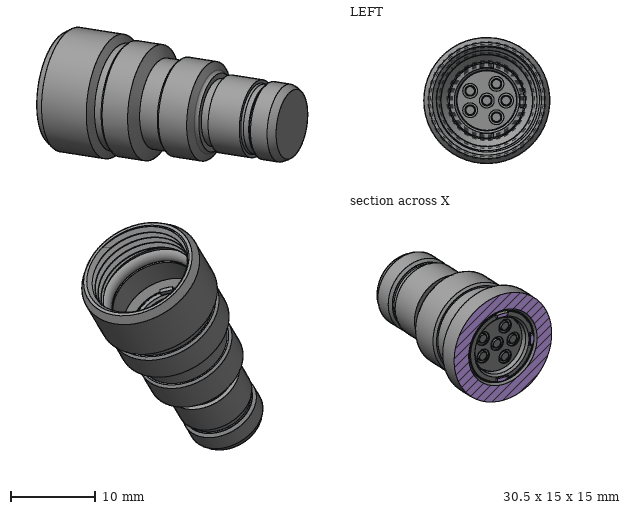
import cadquery as cq
import math


FULL_TURN = 360

LENGTH = 30.5
FRONT_RADIUS = 7.5
FRONT_LIP_RADIUS = 6.9
FRONT_CHAMFER_END = 0.95
FRONT_COLLAR_END = 6.9
FRONT_NECK_START = 7.5
FRONT_NECK_RADIUS = 6.5
MIDDLE_COLLAR_START = 8.47
MIDDLE_COLLAR_RADIUS = 7.0
MIDDLE_COLLAR_END = 12.15
MIDDLE_NECK_START = 13.0
MIDDLE_NECK_RADIUS = 5.5
REAR_COLLAR_START = 15.45
REAR_COLLAR_RADIUS = 6.0
REAR_COLLAR_END = 19.5
REAR_CONE_END = 20.05
REAR_CONE_END_RADIUS = 5.05
REAR_SHOULDER_RADIUS = 4.75
REAR_SHOULDER_END = 20.5
REAR_NECK_RADIUS = 4.1
BARREL_RADIUS = 4.7
BARREL_START = 21.7
BARREL_END = 25.85
GROOVE_RADIUS = 4.2
GROOVE_BEVEL = 0.3
GROOVE_EDGE_HEIGHT = 0.1
GROOVE_FLOOR_END = 26.85
GROOVE_WALL = 27.0
TAIL_CHAMFER = 0.35
TAIL_END = 29.55
TAIL_END_RADIUS = 4.2
TAIL_BULGE = 0.06
COLLAR_CHAMFER = 0.3

MOUTH_RADIUS = 6.5
THREAD_MAJOR_RADIUS = 6.47
THREAD_MINOR_RADIUS = 5.96
THREAD_PITCH = 1.0
THREAD_START = -0.1
THREAD_END = 4.3
THREAD_OVERLAP = 0.02
THREAD_GROOVE_WIDTH = 0.94
LEAD_IN_LENGTH = 0.5

SEAT_FACE = 4.8
SEAT_ROUND = 1.0
SEAT_RADIUS = 5.48
SEAT_GAP_DEPTH = 0.2
SEAT_GAP_WIDTH = 0.2
SOCKET_RADIUS = 5.44
TAPER_START = 9.2
TAPER_END = 10.0
TAPER_END_RADIUS = 4.6

SLEEVE_RADIUS = 4.45
SLEEVE_MOUTH_RADIUS = 3.87
SLEEVE_GAP_DEPTH = 0.3
SLEEVE_CHAMFER_LENGTH = 0.3
RECESS_RADIUS = 3.61
INSERT_RADIUS = 3.54
INSERT_GAP_DEPTH = 0.3
INSERT_FACE = 11.0
KEY_WIDTH = 1.6
KEY_HEIGHT = 0.5
KEY_EMBED = 0.1
KEY_INNER_RADIUS = 3.92
KEY_ANGLES = (90, 180, 270)

CONTACT_CIRCLE_RADIUS = 2.29
CONTACT_ANGLES = (30, 120, 180, 240, 330)
CONTACT_COUNTERBORE_RADIUS = 0.88
CONTACT_COUNTERBORE_DEPTH = 0.2
CONTACT_HOLE_RADIUS = 0.63
CONTACT_HOLE_DEPTH = 1.0
PIN_RADIUS = 0.52


def outer_body():
    """Solid of revolution with three collars, a barrel and a grooved tail."""
    tail_middle = (
        (TAIL_END + LENGTH) / 2,
        (BARREL_RADIUS + TAIL_END_RADIUS) / 2 + TAIL_BULGE,
    )
    profile = (
        cq.Workplane("XY")
        .lineTo(0, FRONT_LIP_RADIUS)
        .lineTo(FRONT_CHAMFER_END, FRONT_RADIUS)
        .lineTo(FRONT_COLLAR_END, FRONT_RADIUS)
        .lineTo(FRONT_NECK_START, FRONT_NECK_RADIUS)
        .lineTo(MIDDLE_COLLAR_START, FRONT_NECK_RADIUS)
        .lineTo(MIDDLE_COLLAR_START, MIDDLE_COLLAR_RADIUS - COLLAR_CHAMFER)
        .lineTo(MIDDLE_COLLAR_START + COLLAR_CHAMFER, MIDDLE_COLLAR_RADIUS)
        .lineTo(MIDDLE_COLLAR_END, MIDDLE_COLLAR_RADIUS)
        .lineTo(MIDDLE_NECK_START, MIDDLE_NECK_RADIUS)
        .lineTo(REAR_COLLAR_START, MIDDLE_NECK_RADIUS)
        .lineTo(REAR_COLLAR_START, REAR_COLLAR_RADIUS - COLLAR_CHAMFER)
        .lineTo(REAR_COLLAR_START + COLLAR_CHAMFER, REAR_COLLAR_RADIUS)
        .lineTo(REAR_COLLAR_END, REAR_COLLAR_RADIUS)
        .lineTo(REAR_CONE_END, REAR_CONE_END_RADIUS)
        .tangentArcPoint((REAR_SHOULDER_END, REAR_SHOULDER_RADIUS), relative=False)
        .lineTo(REAR_SHOULDER_END, REAR_NECK_RADIUS)
        .lineTo(BARREL_START, REAR_NECK_RADIUS)
        .lineTo(BARREL_START, BARREL_RADIUS)
        .lineTo(BARREL_END, BARREL_RADIUS)
        .lineTo(BARREL_END, GROOVE_RADIUS + GROOVE_EDGE_HEIGHT)
        .lineTo(BARREL_END + GROOVE_BEVEL, GROOVE_RADIUS)
        .lineTo(GROOVE_FLOOR_END, GROOVE_RADIUS)
        .lineTo(GROOVE_WALL, GROOVE_RADIUS + GROOVE_EDGE_HEIGHT)
        .lineTo(GROOVE_WALL, BARREL_RADIUS - TAIL_CHAMFER)
        .lineTo(GROOVE_WALL + TAIL_CHAMFER, BARREL_RADIUS)
        .lineTo(TAIL_END, BARREL_RADIUS)
        .threePointArc(tail_middle, (LENGTH, TAIL_END_RADIUS))
        .lineTo(LENGTH, 0)
        .close()
    )
    return profile.revolve(FULL_TURN, (0, 0), (1, 0))


def mouth_cavity():
    """Thread core, undercut, rounded seat, taper and insert recess as one cutter."""
    seat_end = SEAT_FACE + SEAT_ROUND
    round_centre_radius = SEAT_RADIUS + SEAT_ROUND
    round_offset = SEAT_ROUND * math.sqrt(0.5)
    socket_start = seat_end + SEAT_GAP_WIDTH
    gap_radius = SEAT_RADIUS + SEAT_GAP_DEPTH
    profile = (
        cq.Workplane("XY")
        .lineTo(0, MOUTH_RADIUS)
        .lineTo(LEAD_IN_LENGTH, THREAD_MINOR_RADIUS)
        .lineTo(THREAD_END, THREAD_MINOR_RADIUS)
        .lineTo(THREAD_END, round_centre_radius)
        .lineTo(SEAT_FACE, round_centre_radius)
        .threePointArc(
            (seat_end - round_offset, round_centre_radius - round_offset),
            (seat_end, SEAT_RADIUS),
        )
        .lineTo(seat_end, gap_radius)
        .lineTo(socket_start, gap_radius)
        .lineTo(socket_start, SOCKET_RADIUS)
        .lineTo(TAPER_START, SOCKET_RADIUS)
        .lineTo(TAPER_END, TAPER_END_RADIUS)
        .lineTo(TAPER_END + SLEEVE_GAP_DEPTH, TAPER_END_RADIUS)
        .lineTo(TAPER_END + SLEEVE_GAP_DEPTH, SLEEVE_RADIUS)
        .lineTo(TAPER_END, SLEEVE_RADIUS)
        .lineTo(TAPER_END, SLEEVE_MOUTH_RADIUS)
        .lineTo(TAPER_END + SLEEVE_CHAMFER_LENGTH, RECESS_RADIUS)
        .lineTo(INSERT_FACE + INSERT_GAP_DEPTH, RECESS_RADIUS)
        .lineTo(INSERT_FACE + INSERT_GAP_DEPTH, INSERT_RADIUS)
        .lineTo(INSERT_FACE, INSERT_RADIUS)
        .lineTo(INSERT_FACE, 0)
        .close()
    )
    return profile.revolve(FULL_TURN, (0, 0), (1, 0))


def thread_cutter():
    """Right-hand triangular thread groove that starts at +Y and ends in the undercut."""
    inner_radius = THREAD_MINOR_RADIUS - THREAD_OVERLAP
    half_width = THREAD_GROOVE_WIDTH / 2
    helix = cq.Wire.makeHelix(
        THREAD_PITCH,
        THREAD_END - THREAD_START,
        THREAD_MINOR_RADIUS,
        center=cq.Vector(0, 0, THREAD_START),
    )
    groove = (
        cq.Workplane("XZ")
        .moveTo(inner_radius, THREAD_START - half_width)
        .lineTo(inner_radius, THREAD_START + half_width)
        .lineTo(THREAD_MAJOR_RADIUS, THREAD_START)
        .close()
        .sweep(cq.Workplane(helix), isFrenet=True)
    )
    return groove.rotate((0, 0, 0), (1, 1, 1), FULL_TURN / 3)


def keys():
    """Flat-sided keys that stand on the sleeve end, bounded by its outer cylinder."""
    sleeve_envelope = cq.Workplane("YZ", origin=(TAPER_END - KEY_HEIGHT, 0, 0)).circle(SLEEVE_RADIUS)
    sleeve_envelope = sleeve_envelope.extrude(KEY_HEIGHT + KEY_EMBED)
    blanks = cq.Workplane("XY")
    for angle in KEY_ANGLES:
        blank = cq.Workplane("XY").box(
            KEY_HEIGHT + KEY_EMBED, SLEEVE_RADIUS - KEY_INNER_RADIUS, KEY_WIDTH, centered=(False, False, True)
        )
        blank = blank.translate((TAPER_END - KEY_HEIGHT, KEY_INNER_RADIUS, 0))
        blanks = blanks.add(blank.rotate((0, 0, 0), (1, 0, 0), angle))
    return blanks.combine().intersect(sleeve_envelope)


def contact_cutter(y, z):
    """Shallow counterbore and an annular hole that leaves a central pin."""
    face = cq.Workplane("YZ", origin=(INSERT_FACE, y, z))
    counterbore = face.circle(CONTACT_COUNTERBORE_RADIUS).extrude(CONTACT_COUNTERBORE_DEPTH)
    hole = face.circle(CONTACT_HOLE_RADIUS).extrude(CONTACT_HOLE_DEPTH)
    pin = face.circle(PIN_RADIUS).extrude(CONTACT_HOLE_DEPTH)
    return counterbore.union(hole).cut(pin)


def contact_positions():
    """Centre contact and the contacts on the pitch circle, as (Y, Z) pairs."""
    positions = [(0, 0)]
    for angle in CONTACT_ANGLES:
        turn = math.radians(angle)
        positions.append(
            (CONTACT_CIRCLE_RADIUS * math.cos(turn), CONTACT_CIRCLE_RADIUS * math.sin(turn))
        )
    return positions


result = outer_body().cut(mouth_cavity()).cut(thread_cutter())
result = result.union(keys())
for contact_y, contact_z in contact_positions():
    result = result.cut(contact_cutter(contact_y, contact_z))